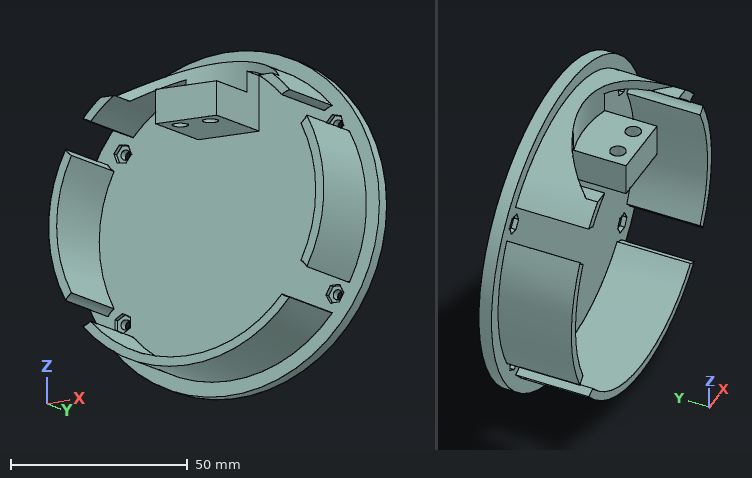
import cadquery as cq
import math

plate_radius = 50.0
plate_thickness = 4.0
total_depth = 27.0
wall_depth = total_depth - plate_thickness

ring_outer_radius = 45.7
ring_inner_radius = 43.0
screw_clearance_radius = 5.5

screw_circle_radius = 43.0
screw_angle = 35.0
screw_hole_diameter = 2.9
nut_corner_diameter = 5.9
nut_pocket_depth = 1.5
nut_turns = [30.0, -8.0, 0.0, -14.0]

block_width = 20.2
block_top = 35.7
block_height = 10.0
block_bottom = block_top - block_height
cable_hole_diameter = 4.6
cable_hole_spacing = 10.0
cable_hole_height = 18.0

scoop_radius = 35.6
scoop_floor_gap = 5.1


def depth_plane(depth):
    """XZ sketch plane, with its normal toward -Y, at a depth from the outer face."""
    return cq.Workplane("XZ", origin=(0, -depth, 0))


def screw_centers():
    x = screw_circle_radius * math.cos(math.radians(screw_angle))
    z = screw_circle_radius * math.sin(math.radians(screw_angle))
    return [(sx * x, sz * z) for sx in (-1, 1) for sz in (-1, 1)]


def make_plate():
    return depth_plane(0).circle(plate_radius).extrude(plate_thickness)


def make_ring():
    ring = (
        depth_plane(plate_thickness)
        .circle(ring_outer_radius)
        .circle(ring_inner_radius)
        .extrude(wall_depth)
    )
    gaps = (
        depth_plane(plate_thickness)
        .pushPoints(screw_centers())
        .circle(screw_clearance_radius)
        .extrude(wall_depth)
    )
    return ring.cut(gaps)


def make_cable_block():
    """Block reaching up to the ring, trimmed to the ring's round outside."""
    reach = ring_outer_radius - block_bottom
    block = (
        depth_plane(plate_thickness)
        .center(0, block_bottom + reach / 2)
        .rect(block_width, reach)
        .extrude(wall_depth)
    )
    ring_envelope = depth_plane(plate_thickness).circle(ring_outer_radius).extrude(wall_depth)
    return block.intersect(ring_envelope)


def make_scoop():
    center_depth = plate_thickness + scoop_floor_gap + scoop_radius
    return (
        cq.Workplane("XY", origin=(0, -center_depth, block_top))
        .circle(scoop_radius)
        .extrude(plate_radius - block_top)
    )


def make_cable_holes():
    hole_depth = plate_thickness + cable_hole_height
    return (
        cq.Workplane("XY", origin=(0, -hole_depth, block_bottom))
        .pushPoints([(-cable_hole_spacing / 2, 0), (cable_hole_spacing / 2, 0)])
        .circle(cable_hole_diameter / 2)
        .extrude(block_height)
    )


def make_screw_cuts():
    cuts = (
        depth_plane(0)
        .pushPoints(screw_centers())
        .circle(screw_hole_diameter / 2)
        .extrude(plate_thickness)
    )
    for (x, z), turn in zip(screw_centers(), nut_turns):
        pocket = (
            depth_plane(plate_thickness - nut_pocket_depth)
            .center(x, z)
            .transformed(rotate=(0, 0, turn))
            .polygon(6, nut_corner_diameter)
            .extrude(nut_pocket_depth)
        )
        cuts = cuts.union(pocket)
    return cuts


result = (
    make_plate()
    .union(make_ring())
    .union(make_cable_block())
    .cut(make_scoop())
    .cut(make_cable_holes())
    .cut(make_screw_cuts())
)